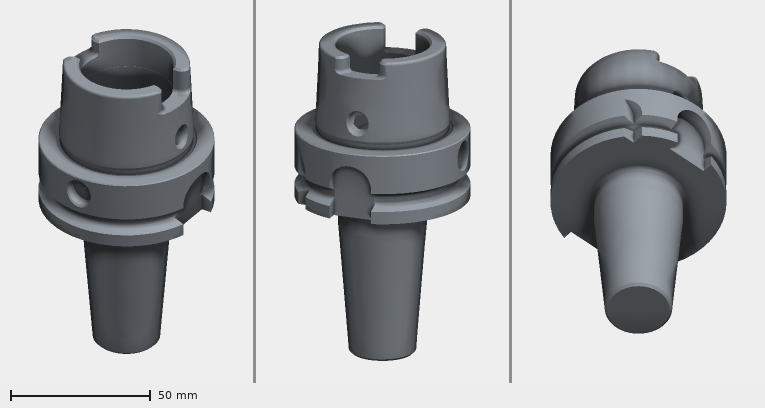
import cadquery as cq
import math

TOTAL_LENGTH = 116.9
CONE_BASE_Z = 87.3
FLANGE_TOP_Z = 84.9
FLANGE_BOTTOM_Z = 58.9
GROOVE_CENTRE_Z = 67.0
NOSE_TAPER_TOP_Z = 48.3

CONE_TOP_RADIUS = 22.8
CONE_BASE_RADIUS = 24.2
RELIEF_RADIUS = 24.0
RELIEF_CHAMFER = 0.9
RIM_CHAMFER = 0.8
RIM_ROUNDING = 1.0

FLANGE_DIAMETER = 63.0
FLANGE_RADIUS = FLANGE_DIAMETER / 2
FLANGE_CHAMFER = 0.4
FACE_RECESS_RADIUS = 24.9
FACE_RECESS_DEPTH = 0.5
GROOVE_RADIUS = 27.5
GROOVE_HALF_OPENING = 3.4
GROOVE_HALF_FLOOR = 1.6
GROOVE_FILLET = 0.9

NECK_RADIUS = 16.0
NECK_STRAIGHT_END_Z = 53.8
NOSE_RADIUS = 15.9
NOSE_TAPER_ANGLE = 4.5
NOSE_END_CHAMFER = 0.9
NECK_FILLET = 1.5

ENTRY_RADIUS = 17.0
ENTRY_DEPTH = 12.5
BORE_RADIUS = 16.8
BORE_DEPTH = 23.1
CHAMBER_RADIUS = 19.9
CHAMBER_FLANK_ANGLE = 30.0
SOCKET_FLOOR_Z = 84.2
SOCKET_FLOOR_FILLET = 4.1
FLOOR_RECESS_RADIUS = 8.7
FLOOR_RECESS_DEPTH = 1.2
CENTRE_HOLE_RADIUS = 2.1
CENTRE_HOLE_DEPTH = 4.7
DRILL_TIP_ANGLE = 118.0

SLOT_WIDTH = 12.4
SHALLOW_SLOT_DEPTH = 6.2
DEEP_SLOT_DEPTH = 9.9
SLOT_FLARE_RADIUS = 3.4
SLOT_FLARE_END_RADIUS = 23.1
SLOT_FLOOR_FILLET = 1.5

CROSS_HOLE_Z = 94.0
CROSS_HOLE_RADIUS = 3.7
CROSS_HOLE_BEVEL = 1.3

KEYWAY_FLAT_X = 26.4
KEYWAY_TOP_Z = 80.1
KEYWAY_WIDTH = 16.0
WIDE_KEYWAY_WIDTH = 18.0
NOTCH_FLAT_X = 20.1
NOTCH_EDGE_Y = 19.8

POCKET_Z = 78.1
POCKET_RADIUS = 4.9
POCKET_FLOOR_Y = 27.0
POCKET_BEVEL = 0.7
POCKET_PILOT_RADIUS = 0.4
POCKET_PILOT_DEPTH = 0.6


def turned_body():
    """Outer shape, revolved about Z."""
    nose_end_radius = NOSE_RADIUS - NOSE_TAPER_TOP_Z * math.tan(math.radians(NOSE_TAPER_ANGLE))
    profile = (
        cq.Workplane("YZ")
        .lineTo(nose_end_radius - NOSE_END_CHAMFER, 0)
        .lineTo(nose_end_radius, NOSE_END_CHAMFER)
        .lineTo(NOSE_RADIUS, NOSE_TAPER_TOP_Z)
        .lineTo(NECK_RADIUS, NECK_STRAIGHT_END_Z)
        .lineTo(NECK_RADIUS, FLANGE_BOTTOM_Z - NECK_FILLET)
        .radiusArc((NECK_RADIUS + NECK_FILLET, FLANGE_BOTTOM_Z), NECK_FILLET)
        .lineTo(FLANGE_RADIUS, FLANGE_BOTTOM_Z)
        .lineTo(FLANGE_RADIUS, GROOVE_CENTRE_Z - GROOVE_HALF_OPENING)
        .lineTo(GROOVE_RADIUS, GROOVE_CENTRE_Z - GROOVE_HALF_FLOOR)
        .lineTo(GROOVE_RADIUS, GROOVE_CENTRE_Z + GROOVE_HALF_FLOOR)
        .lineTo(FLANGE_RADIUS, GROOVE_CENTRE_Z + GROOVE_HALF_OPENING)
        .lineTo(FLANGE_RADIUS, FLANGE_TOP_Z - FLANGE_CHAMFER)
        .lineTo(FLANGE_RADIUS - FLANGE_CHAMFER, FLANGE_TOP_Z)
        .lineTo(FACE_RECESS_RADIUS + FACE_RECESS_DEPTH, FLANGE_TOP_Z)
        .lineTo(FACE_RECESS_RADIUS, FLANGE_TOP_Z - FACE_RECESS_DEPTH)
        .lineTo(RELIEF_RADIUS, FLANGE_TOP_Z - FACE_RECESS_DEPTH)
        .lineTo(RELIEF_RADIUS, CONE_BASE_Z - RELIEF_CHAMFER)
        .lineTo(CONE_BASE_RADIUS, CONE_BASE_Z)
        .lineTo(CONE_TOP_RADIUS, TOTAL_LENGTH - RIM_ROUNDING)
        .radiusArc((CONE_TOP_RADIUS - RIM_ROUNDING, TOTAL_LENGTH), -RIM_ROUNDING)
        .lineTo(0, TOTAL_LENGTH)
        .close()
    )
    body = profile.revolve(360, (0, 0), (0, 1))
    corner_reach = (GROOVE_HALF_FLOOR + GROOVE_HALF_OPENING) / 2
    groove_corners = cq.selectors.BoxSelector(
        (-GROOVE_RADIUS, -GROOVE_RADIUS, GROOVE_CENTRE_Z - corner_reach),
        (GROOVE_RADIUS, GROOVE_RADIUS, GROOVE_CENTRE_Z + corner_reach),
    )
    return body.edges(groove_corners).fillet(GROOVE_FILLET)


def socket():
    """Bore with a wider entry, a clamping chamber below it, and the centre hole in its floor."""
    bore_end_z = TOTAL_LENGTH - BORE_DEPTH
    recess_z = SOCKET_FLOOR_Z - FLOOR_RECESS_DEPTH
    hole_end_z = recess_z - CENTRE_HOLE_DEPTH
    tip_length = CENTRE_HOLE_RADIUS / math.tan(math.radians(DRILL_TIP_ANGLE / 2))
    flank_height = (CHAMBER_RADIUS - BORE_RADIUS) * math.tan(math.radians(CHAMBER_FLANK_ANGLE))
    profile = (
        cq.Workplane("YZ")
        .moveTo(0, TOTAL_LENGTH)
        .lineTo(ENTRY_RADIUS + RIM_CHAMFER, TOTAL_LENGTH)
        .lineTo(ENTRY_RADIUS, TOTAL_LENGTH - RIM_CHAMFER)
        .lineTo(ENTRY_RADIUS, TOTAL_LENGTH - ENTRY_DEPTH)
        .lineTo(BORE_RADIUS, TOTAL_LENGTH - ENTRY_DEPTH)
        .lineTo(BORE_RADIUS, bore_end_z)
        .lineTo(CHAMBER_RADIUS, bore_end_z - flank_height)
        .lineTo(CHAMBER_RADIUS, SOCKET_FLOOR_Z + SOCKET_FLOOR_FILLET)
        .radiusArc((CHAMBER_RADIUS - SOCKET_FLOOR_FILLET, SOCKET_FLOOR_Z), SOCKET_FLOOR_FILLET)
        .lineTo(FLOOR_RECESS_RADIUS, SOCKET_FLOOR_Z)
        .lineTo(FLOOR_RECESS_RADIUS, recess_z)
        .lineTo(CENTRE_HOLE_RADIUS, recess_z)
        .lineTo(CENTRE_HOLE_RADIUS, hole_end_z)
        .lineTo(0, hole_end_z - tip_length)
        .close()
    )
    return profile.revolve(360, (0, 0), (0, 1))


def half_slot_outline(z):
    """Half of a +X drive slot seen along Z: a straight wall that flares outward at the cone surface."""
    half_width = SLOT_WIDTH / 2
    flare_y = half_width + SLOT_FLARE_RADIUS
    flare_reach = SLOT_FLARE_END_RADIUS - SLOT_FLARE_RADIUS
    flare_x = math.sqrt(flare_reach**2 - flare_y**2)
    end_x = flare_x * SLOT_FLARE_END_RADIUS / flare_reach
    end_y = flare_y * SLOT_FLARE_END_RADIUS / flare_reach
    outer_x = CONE_BASE_RADIUS + SLOT_FLARE_RADIUS
    return (
        cq.Workplane("XY", origin=(0, 0, z))
        .lineTo(0, half_width)
        .lineTo(flare_x, half_width)
        .radiusArc((end_x, end_y), -SLOT_FLARE_RADIUS)
        .lineTo(outer_x, end_y)
        .lineTo(outer_x, 0)
        .close()
    )


def drive_slot(side, depth):
    """Slot through the rim on one side (+1 or -1 along X), with a rounded floor and bevelled rim."""
    half = half_slot_outline(TOTAL_LENGTH - depth).extrude(depth)
    slot = half.union(half.mirror("XZ"))
    slot = slot.faces("<Z").edges("not(#X)").fillet(SLOT_FLOOR_FILLET)
    half_bevel = half_slot_outline(TOTAL_LENGTH - RIM_CHAMFER).extrude(RIM_CHAMFER, taper=-45)
    slot = slot.union(half_bevel).union(half_bevel.mirror("XZ"))
    return slot if side > 0 else slot.mirror("YZ")


def keyway(side, flat_x, centre_y, width):
    """Round-topped slot, open at the flange bottom, cut inward from one X side to a flat."""
    radius = width / 2
    centre_z = KEYWAY_TOP_Z - radius
    outline = (
        cq.Workplane("YZ", origin=(side * flat_x, 0, 0))
        .moveTo(centre_y - radius, FLANGE_BOTTOM_Z)
        .lineTo(centre_y - radius, centre_z)
        .threePointArc((centre_y, KEYWAY_TOP_Z), (centre_y + radius, centre_z))
        .lineTo(centre_y + radius, FLANGE_BOTTOM_Z)
        .close()
    )
    return outline.extrude(side * FLANGE_RADIUS)


def cross_hole():
    """Hole along X through both walls of the clamping cone, countersunk at both mouths."""
    profile = (
        cq.Workplane("XZ", origin=(0, 0, CROSS_HOLE_Z))
        .moveTo(-CONE_BASE_RADIUS, 0)
        .lineTo(-CONE_BASE_RADIUS, CROSS_HOLE_RADIUS + CROSS_HOLE_BEVEL)
        .lineTo(CROSS_HOLE_BEVEL - CONE_BASE_RADIUS, CROSS_HOLE_RADIUS)
        .lineTo(CONE_BASE_RADIUS - CROSS_HOLE_BEVEL, CROSS_HOLE_RADIUS)
        .lineTo(CONE_BASE_RADIUS, CROSS_HOLE_RADIUS + CROSS_HOLE_BEVEL)
        .lineTo(CONE_BASE_RADIUS, 0)
        .close()
    )
    return profile.revolve(360, (0, 0), (1, 0))


def side_pocket():
    """Flat-bottomed pocket with a bevelled mouth on the -Y side of the flange, and a small pilot hole."""
    profile = (
        cq.Workplane("XY", origin=(0, 0, POCKET_Z))
        .moveTo(0, -FLANGE_RADIUS)
        .lineTo(POCKET_RADIUS + POCKET_BEVEL, -FLANGE_RADIUS)
        .lineTo(POCKET_RADIUS, POCKET_BEVEL - FLANGE_RADIUS)
        .lineTo(POCKET_RADIUS, -POCKET_FLOOR_Y)
        .lineTo(POCKET_PILOT_RADIUS, -POCKET_FLOOR_Y)
        .lineTo(POCKET_PILOT_RADIUS, POCKET_PILOT_DEPTH - POCKET_FLOOR_Y)
        .lineTo(0, POCKET_PILOT_DEPTH - POCKET_FLOOR_Y)
        .close()
    )
    return profile.revolve(360, (0, 0), (0, 1))


body = turned_body().cut(socket())

for slot_side, slot_depth in ((-1, SHALLOW_SLOT_DEPTH), (1, DEEP_SLOT_DEPTH)):
    body = body.cut(drive_slot(slot_side, slot_depth))

body = body.cut(cross_hole())
body = body.cut(side_pocket())
body = body.cut(keyway(-1, KEYWAY_FLAT_X, 0, KEYWAY_WIDTH))
body = body.cut(keyway(1, KEYWAY_FLAT_X, 0, WIDE_KEYWAY_WIDTH))
body = body.cut(keyway(-1, NOTCH_FLAT_X, NOTCH_EDGE_Y + KEYWAY_WIDTH / 2, KEYWAY_WIDTH))

result = body